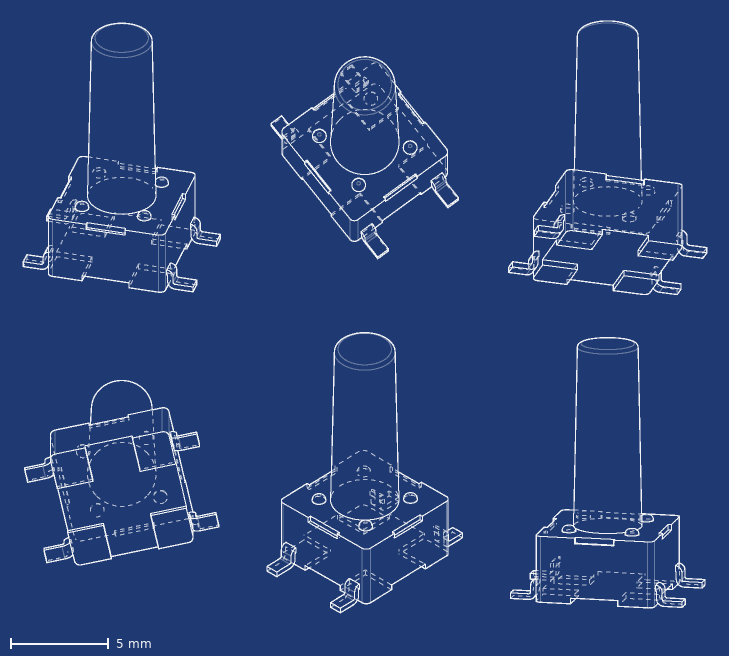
import cadquery as cq

total_height = 13.0
lead_span = 9.0

body_side = 6.2
body_height = 3.46
corner_radius = 0.3
cover_thickness = 0.3
cover_notch_length = 2.04
cover_notch_depth = 0.17
channel_width = 2.47
channel_depth = 0.3

plunger_base_diameter = 3.5
plunger_top_diameter = 3.11
plunger_edge_radius = 0.2

rivet_diameter = 0.7
rivet_height = 0.3
rivet_edge_radius = 0.26
rivet_offset = 1.65

lead_width = 0.7
lead_thickness = 0.3
lead_offset = 2.25
lead_height = 1.09
lead_shank_x = 3.45
foot_bend_radius = 0.1
lead_anchor_depth = 0.26

half_side = body_side / 2


def make_housing():
    """Rounded square block with a notched cover and crossed channels underneath."""
    housing = cq.Workplane("XY").rect(body_side, body_side).extrude(body_height)
    housing = housing.edges("|Z").fillet(corner_radius)

    cover_bottom = body_height - cover_thickness
    notch_centre = half_side - cover_notch_depth / 2
    for angle in (0, 90, 180, 270):
        notch = (
            cq.Workplane("XY", origin=(0, 0, cover_bottom))
            .center(notch_centre, 0)
            .rect(cover_notch_depth, cover_notch_length)
            .extrude(cover_thickness)
            .rotate((0, 0, 0), (0, 0, 1), angle)
        )
        housing = housing.cut(notch)

    for size_x, size_y in ((channel_width, body_side), (body_side, channel_width)):
        channel = cq.Workplane("XY").rect(size_x, size_y).extrude(channel_depth)
        housing = housing.cut(channel)
    return housing


def make_plunger():
    """Slightly tapered round shaft with a rounded top edge."""
    return (
        cq.Workplane("XY", origin=(0, 0, body_height))
        .circle(plunger_base_diameter / 2)
        .workplane(offset=total_height - body_height)
        .circle(plunger_top_diameter / 2)
        .loft(ruled=True)
        .faces(">Z")
        .edges()
        .fillet(plunger_edge_radius)
    )


def make_rivets():
    """Four domed heads, each with a small flat on top."""
    return (
        cq.Workplane("XY", origin=(0, 0, body_height))
        .rect(2 * rivet_offset, 2 * rivet_offset, forConstruction=True)
        .vertices()
        .circle(rivet_diameter / 2)
        .extrude(rivet_height)
        .faces(">Z")
        .edges()
        .fillet(rivet_edge_radius)
    )


def make_lead():
    """S-bent strip leaving the +X wall, centred on Y = 0."""
    tip_x = lead_span / 2
    inner_x = lead_shank_x - lead_thickness
    anchor_x = half_side - lead_anchor_depth
    foot_outer_radius = foot_bend_radius + lead_thickness
    shoulder_outer_radius = lead_shank_x - half_side
    shoulder_inner_radius = inner_x - half_side
    shoulder_centre_z = lead_height - shoulder_outer_radius
    shoulder_bottom = shoulder_centre_z + shoulder_inner_radius
    foot_bend_x = lead_shank_x + foot_bend_radius

    return (
        cq.Workplane("XZ")
        .moveTo(anchor_x, lead_height)
        .lineTo(half_side, lead_height)
        .radiusArc((lead_shank_x, shoulder_centre_z), shoulder_outer_radius)
        .lineTo(lead_shank_x, foot_outer_radius)
        .radiusArc((foot_bend_x, lead_thickness), -foot_bend_radius)
        .lineTo(tip_x, lead_thickness)
        .lineTo(tip_x, 0)
        .lineTo(foot_bend_x, 0)
        .radiusArc((inner_x, foot_outer_radius), foot_outer_radius)
        .lineTo(inner_x, shoulder_centre_z)
        .radiusArc((half_side, shoulder_bottom), -shoulder_inner_radius)
        .lineTo(anchor_x, shoulder_bottom)
        .close()
        .extrude(lead_width / 2, both=True)
    )


result = make_housing().union(make_plunger()).union(make_rivets())
for lead_y in (-lead_offset, lead_offset):
    lead = make_lead().translate((0, lead_y, 0))
    result = result.union(lead).union(lead.mirror("YZ"))